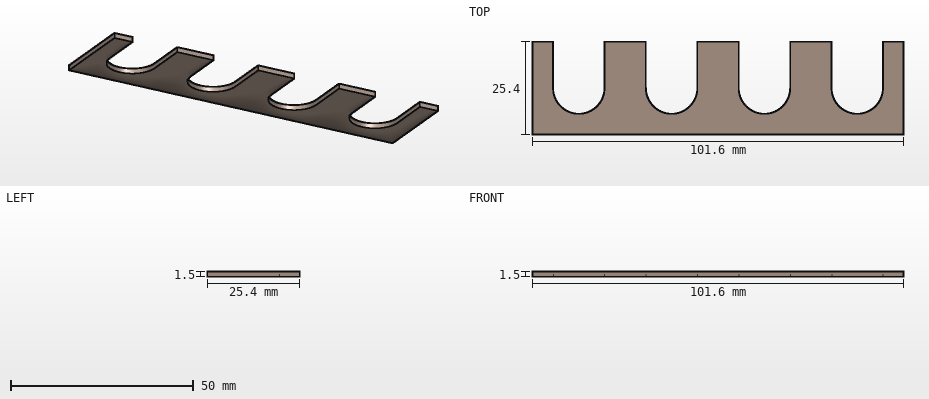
import cadquery as cq

length = 101.6
slot_count = 4
pitch = length / slot_count
width = pitch
thickness = 1.5
slot_width = 14.0
slot_radius = slot_width / 2
slot_center_y = width / 2


def open_slot(center_x):
    """U-shaped cutter with its round end toward -Y and its open end on the +Y edge."""
    left = center_x - slot_radius
    right = center_x + slot_radius
    return (
        cq.Workplane("XY")
        .moveTo(left, width)
        .lineTo(left, slot_center_y)
        .threePointArc((center_x, slot_center_y - slot_radius), (right, slot_center_y))
        .lineTo(right, width)
        .close()
        .extrude(thickness)
    )


result = cq.Workplane("XY").box(length, width, thickness, centered=False)
for index in range(slot_count):
    result = result.cut(open_slot((index + 0.5) * pitch))